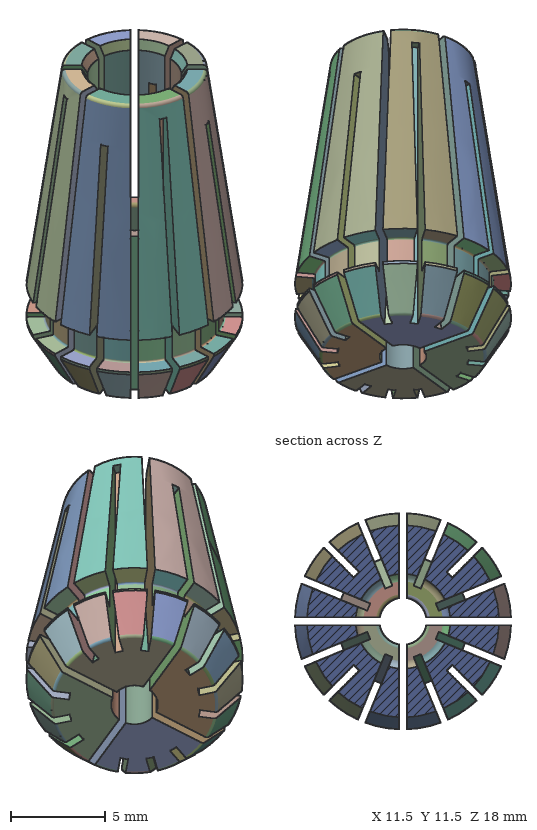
import cadquery as cq
import math

LENGTH = 18.0
MAX_RADIUS = 5.75

GROOVE_RADIUS = 4.75
NOSE_TOP = 2.5
CONE_BOTTOM = 4.5
NOSE_LAND = 0.16
NOSE_ANGLE = 30.0
CONE_ANGLE = 8.0
TOP_ROUND = 0.2
NOSE_ROUND = 0.2
GROOVE_ROUND = 0.09

BORE_RADIUS = 1.25
RELIEF_RADIUS = 2.5
SHOULDER_HEIGHT = 8.64
RELIEF_ROUND = 0.4
BORE_ROUND = 0.2
MOUTH_CHAMFER_WIDTH = 0.3
MOUTH_CHAMFER_DEPTH = 0.5

NOSE_SLOT_COUNT = 4
NOSE_SLOT_PITCH = 360 / NOSE_SLOT_COUNT
SLOT_WIDTH = 0.41
THROUGH_SLOT_TOP = 15.5
BLIND_SLOT_TOP = 17.06
SLOT_FLOOR_RADIUS = 3.5
SLOT_FLOOR_ANGLE = 10.0
OVERCUT = 0.9

CUT_RADIUS = MAX_RADIUS + OVERCUT


def collet_body():
    """Revolved body with its outer cone, groove, nose and stepped bore."""
    nose_tip_radius = MAX_RADIUS - (NOSE_TOP - NOSE_LAND) * math.tan(math.radians(NOSE_ANGLE))
    cone_top_radius = MAX_RADIUS - (LENGTH - CONE_BOTTOM) * math.tan(math.radians(CONE_ANGLE))
    groove_middle = (NOSE_TOP + CONE_BOTTOM) / 2
    outside = (
        cq.Workplane("XZ")
        .moveTo(0, 0)
        .lineTo(nose_tip_radius, 0)
        .lineTo(MAX_RADIUS, NOSE_TOP - NOSE_LAND)
        .lineTo(MAX_RADIUS, NOSE_TOP)
        .lineTo(GROOVE_RADIUS, NOSE_TOP)
        .lineTo(GROOVE_RADIUS, CONE_BOTTOM)
        .lineTo(MAX_RADIUS, CONE_BOTTOM)
        .lineTo(cone_top_radius, LENGTH)
        .lineTo(0, LENGTH)
        .close()
        .revolve(360, (0, 0, 0), (0, 1, 0))
    )
    outside = outside.faces(">Z").edges().fillet(TOP_ROUND)
    outside = outside.faces("<Z").edges().fillet(NOSE_ROUND)
    groove_wall = outside.faces(cq.selectors.NearestToPointSelector((GROOVE_RADIUS, 0, groove_middle)))
    outside = groove_wall.edges("%CIRCLE").fillet(GROOVE_ROUND)
    return outside.cut(bore())


def bore():
    """Small gripping bore that opens into a wide relief above the shoulder."""
    mouth_radius = RELIEF_RADIUS + MOUTH_CHAMFER_WIDTH
    arc_inset = 1 - math.sqrt(0.5)
    return (
        cq.Workplane("XZ")
        .moveTo(0, 0)
        .lineTo(BORE_RADIUS, 0)
        .lineTo(BORE_RADIUS, SHOULDER_HEIGHT - BORE_ROUND)
        .threePointArc(
            (BORE_RADIUS + BORE_ROUND * arc_inset, SHOULDER_HEIGHT - BORE_ROUND * arc_inset),
            (BORE_RADIUS + BORE_ROUND, SHOULDER_HEIGHT),
        )
        .lineTo(RELIEF_RADIUS - RELIEF_ROUND, SHOULDER_HEIGHT)
        .threePointArc(
            (
                RELIEF_RADIUS - RELIEF_ROUND * arc_inset,
                SHOULDER_HEIGHT + RELIEF_ROUND * arc_inset,
            ),
            (RELIEF_RADIUS, SHOULDER_HEIGHT + RELIEF_ROUND),
        )
        .lineTo(RELIEF_RADIUS, LENGTH - MOUTH_CHAMFER_DEPTH)
        .lineTo(mouth_radius, LENGTH)
        .lineTo(0, LENGTH)
        .close()
        .revolve(360, (0, 0, 0), (0, 1, 0))
    )


def slot_cutter(side_outline):
    """Cutter one slot wide, from its outline in radius and height, centred on the +X direction."""
    return cq.Workplane("XZ").polyline(side_outline).close().extrude(SLOT_WIDTH / 2, both=True)


def cut_around(body, cutter, count, first_angle):
    """Cut evenly spaced copies of the cutter, the first turned by first_angle degrees."""
    for index in range(count):
        angle = first_angle + index * 360 / count
        body = body.cut(cutter.rotate((0, 0, 0), (0, 0, 1), angle))
    return body


def rectangular_slot(inner_radius, top):
    """Slot open at the nose, with an upright floor and a flat end at the given height."""
    return slot_cutter(
        [
            (inner_radius, -OVERCUT),
            (CUT_RADIUS, -OVERCUT),
            (CUT_RADIUS, top),
            (inner_radius, top),
        ]
    )


def sloped_slot():
    """Slot open at both ends, its floor leaning inwards towards the top."""
    slope = math.tan(math.radians(SLOT_FLOOR_ANGLE))
    low, high = -OVERCUT, LENGTH + OVERCUT
    return slot_cutter(
        [
            (SLOT_FLOOR_RADIUS - slope * low, low),
            (CUT_RADIUS, low),
            (CUT_RADIUS, high),
            (SLOT_FLOOR_RADIUS - slope * high, high),
        ]
    )


through_slot = rectangular_slot(0, THROUGH_SLOT_TOP)
blind_slot = rectangular_slot(SLOT_FLOOR_RADIUS, BLIND_SLOT_TOP)

result = collet_body()
result = cut_around(result, through_slot, NOSE_SLOT_COUNT, 0)
result = cut_around(result, blind_slot, NOSE_SLOT_COUNT, NOSE_SLOT_PITCH / 2)
result = cut_around(result, sloped_slot(), 2 * NOSE_SLOT_COUNT, NOSE_SLOT_PITCH / 4)